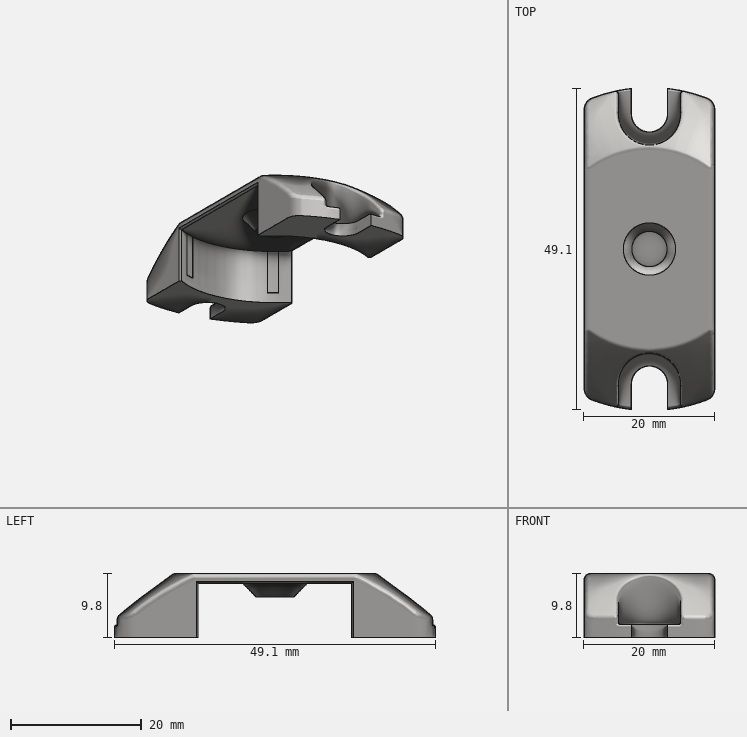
import cadquery as cq
import math

width = 20.0
height = 9.8
end_radius = 24.7
corner_radius = 2.0
edge_radius = 1.0

shoulder_top_radius = 15.4
shoulder_foot_height = 3.15
shoulder_bulge = 0.35

roof_height = 8.3
opening_half_length = 11.73
opening_chamfer = 0.3
cavity_radius = math.hypot(width / 2 - opening_chamfer, opening_half_length)

pad_angle = 29.0
pad_width = 1.7
pad_height = 0.05
pad_bottom = 1.6

slot_radius = 2.75
slot_center = 20.65
pocket_radius = 4.75
pocket_floor = 2.0
floor_fillet = 0.3
rim_fillet = 0.5

dimple_top_radius = 4.0
dimple_bottom_radius = 2.7
dimple_depth = dimple_top_radius - dimple_bottom_radius
boss_top_radius = 4.95
boss_bottom_radius = 2.9
boss_bottom = 6.2

tolerance = 0.01


def make_body():
    """Round-ended block whose ends fall away on shoulders turned about the vertical axis."""
    strip = cq.Workplane("XY").box(width, 2 * end_radius, height, centered=(True, True, False))
    block = cq.Workplane("XY").circle(end_radius).extrude(height).intersect(strip)
    block = block.edges("|Z").fillet(corner_radius)

    run = end_radius - shoulder_top_radius
    drop = height - shoulder_foot_height
    chord = math.hypot(run, drop)
    middle = (
        shoulder_top_radius + run / 2 + shoulder_bulge * drop / chord,
        shoulder_foot_height + drop / 2 + shoulder_bulge * run / chord,
    )
    envelope = (
        cq.Workplane("XZ")
        .lineTo(end_radius, 0)
        .lineTo(end_radius, shoulder_foot_height)
        .threePointArc(middle, (shoulder_top_radius, height))
        .lineTo(0, height)
        .close()
        .revolve(360, (0, 0, 0), (0, 1, 0))
    )
    return block.intersect(envelope).edges("not(|Z or <Z)").fillet(edge_radius)


def make_cavity():
    """Round space under the bridge, chamfered where it breaks out through the sides."""
    cavity = cq.Workplane("XY").circle(cavity_radius).extrude(roof_height)
    mouth = (
        cq.Workplane("YZ", origin=(width / 2, 0, 0))
        .rect(2 * (opening_half_length + opening_chamfer), 2 * (roof_height + opening_chamfer))
        .workplane(offset=-opening_chamfer)
        .rect(2 * opening_half_length, 2 * roof_height)
        .loft()
    )
    return cavity.union(mouth).union(mouth.mirror("YZ"))


def make_pads():
    """Four shallow upright pads on the cavity wall, running down from the roof."""
    ring = (
        cq.Workplane("XY", origin=(0, 0, pad_bottom))
        .circle(cavity_radius + pad_height)
        .circle(cavity_radius - pad_height)
        .extrude(roof_height - pad_bottom)
    )
    bars = cq.Workplane("XY")
    for angle in (pad_angle, -pad_angle):
        bar = cq.Workplane("XY").rect(pad_width, 2 * end_radius).extrude(height)
        bars = bars.union(bar.rotate((0, 0, 0), (0, 0, 1), angle))
    return ring.intersect(bars)


def make_boss():
    """Tapered boss hanging from the roof below the dimple."""
    return (
        cq.Workplane("XY", origin=(0, 0, boss_bottom))
        .circle(boss_bottom_radius)
        .workplane(offset=roof_height - boss_bottom)
        .circle(boss_top_radius)
        .loft()
    )


def make_dimple():
    """Countersunk dimple in the top face."""
    return (
        cq.Workplane("XY", origin=(0, 0, height - dimple_depth))
        .circle(dimple_bottom_radius)
        .workplane(offset=dimple_depth)
        .circle(dimple_top_radius)
        .loft()
    )


def slot_cutter(radius, bottom):
    """Upright slot with a round inner end, open towards +Y."""
    open_end = slot_center + end_radius
    return (
        cq.Workplane("XY", origin=(0, 0, bottom))
        .moveTo(-radius, open_end)
        .lineTo(-radius, slot_center)
        .threePointArc((0, slot_center - radius), (radius, slot_center))
        .lineTo(radius, open_end)
        .close()
        .extrude(height)
    )


def is_inside_pocket(edge):
    """Tell seams and floor edges within the pocket from the edges of its rim."""
    box = edge.BoundingBox()
    is_floor_edge = box.zmax < pocket_floor + floor_fillet + tolerance and box.ymin < slot_center + tolerance
    is_wall_seam = abs(box.ymax - slot_center) < tolerance and box.ylen < tolerance
    return is_floor_edge or is_wall_seam


def cut_screw_seat(body):
    """Cut the pocket at the +Y end, round its rim, and cut the screw slot through its floor."""
    pocket = slot_cutter(pocket_radius, pocket_floor).edges("<Z and (not >Y)").fillet(floor_fillet)
    body = body.cut(pocket)
    rim_box = cq.selectors.BoxSelector(
        (-pocket_radius - tolerance, slot_center - pocket_radius - tolerance, pocket_floor - tolerance),
        (pocket_radius + tolerance, end_radius + tolerance, height),
        boundingbox=True,
    )
    pocket_edges = body.edges(rim_box)
    outer_edges = pocket_edges.filter(lambda edge: not is_inside_pocket(edge))
    body = body.newObject(outer_edges.vals()).fillet(rim_fillet)
    return body.cut(slot_cutter(slot_radius, 0))


result = make_body()
for _ in range(2):
    result = cut_screw_seat(result).rotate((0, 0, 0), (0, 0, 1), 180)
result = result.cut(make_cavity()).union(make_pads()).union(make_boss()).cut(make_dimple())